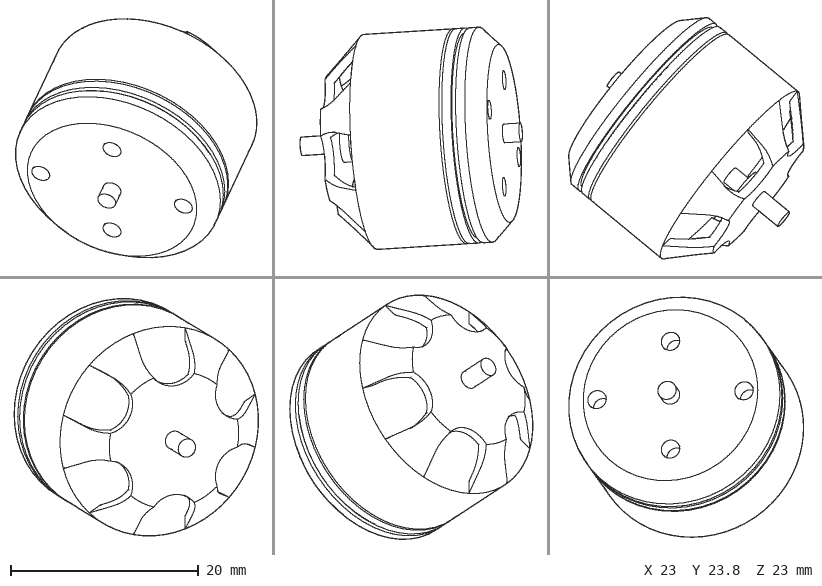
import cadquery as cq
import math

body_radius = 11.5
face_radius = 9.5
groove_radius = 11.0
shaft_radius = 1.0

shaft_front = -1.8
face_chamfer_end = 2.0
groove_start = 3.0
groove_end = 3.5
base_back = 4.5
bell_start = 4.8
bell_shoulder = 14.5
bell_back = 18.5
shaft_back = 22.0

cone_back_radius = body_radius - (bell_back - bell_shoulder)
cone_wall = 1.0
end_plate_thickness = 1.0
end_plate_inner = bell_back - end_plate_thickness
cavity_front_radius = body_radius - cone_wall * math.sqrt(2)
cavity_back_radius = cavity_front_radius - (end_plate_inner - bell_shoulder)
hub_radius = 2.0
hub_length = 1.0

slot_count = 6
slot_half_width = 3.0
slot_arc_center = 9.0
slot_first_angle = 30.0

mount_hole_radius = 1.0
mount_hole_depth = 3.0
mount_offset_x = 8.0
mount_offset_z = 6.0


def cylinder(radius, start, end, x=0.0, z=0.0):
    """Cylinder along Y between two stations."""
    return cq.Workplane(cq.Solid.makeCylinder(radius, end - start, cq.Vector(x, start, z), cq.Vector(0, 1, 0)))


def cone(start_radius, end_radius, start, end):
    """Truncated cone along Y between two stations."""
    return cq.Workplane(
        cq.Solid.makeCone(start_radius, end_radius, end - start, cq.Vector(0, start, 0), cq.Vector(0, 1, 0))
    )


def make_body():
    """Chamfered, grooved base, neck and bell, up to the bell shoulder."""
    profile = [
        (0, 0),
        (face_radius, 0),
        (body_radius, face_chamfer_end),
        (body_radius, groove_start),
        (groove_radius, groove_start),
        (groove_radius, groove_end),
        (body_radius, groove_end),
        (body_radius, base_back),
        (face_radius, base_back),
        (face_radius, bell_start),
        (body_radius, bell_start),
        (body_radius, bell_shoulder),
        (0, bell_shoulder),
    ]
    return cq.Workplane("XY").polyline(profile).close().revolve(360, (0, 0, 0), (0, 1, 0))


def make_slot(angle):
    """Cutter through the cone along Y, open outward, pointing along the given angle in XZ."""
    round_end = cylinder(slot_half_width, bell_shoulder, bell_back, x=slot_arc_center)
    straight = cq.Workplane("XY").box(
        body_radius, bell_back - bell_shoulder, 2 * slot_half_width, centered=(False, False, True)
    ).translate((slot_arc_center, bell_shoulder, 0))
    return round_end.union(straight).rotate((0, 0, 0), (0, 1, 0), angle)


def make_vented_cone():
    """Hollow cone with spokes and an end plate carrying a short inner hub."""
    shell = cone(body_radius, cone_back_radius, bell_shoulder, bell_back)
    shell = shell.cut(cone(cavity_front_radius, cavity_back_radius, bell_shoulder, end_plate_inner))
    for index in range(slot_count):
        shell = shell.cut(make_slot(slot_first_angle + index * 360 / slot_count))
    return shell.union(cylinder(hub_radius, end_plate_inner - hub_length, bell_back))


def cut_mounting_holes(part):
    """Four blind holes, on the X and Z axes of the front face."""
    positions = [(mount_offset_x, 0), (-mount_offset_x, 0), (0, mount_offset_z), (0, -mount_offset_z)]
    for x, z in positions:
        part = part.cut(cylinder(mount_hole_radius, 0, mount_hole_depth, x, z))
    return part


body = cut_mounting_holes(make_body())
shaft = cylinder(shaft_radius, shaft_front, shaft_back)
result = body.union(make_vented_cone()).union(shaft)